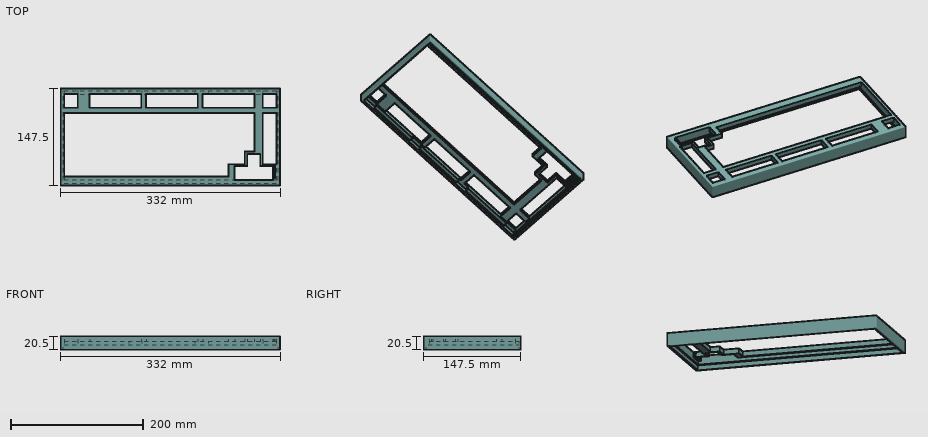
import cadquery as cq


length = 332.0
width = 147.5
height = 20.5
edge_radius = 1.0

lower_wall = 3.5
lower_x = length / 2 - lower_wall
lower_y = width / 2 - lower_wall
lower_depth = 7.3
plate_thickness = 8.0
plate_underside = height - plate_thickness

field_right = 160.5
field_left = -field_right
field_back = 64.7
field_front = -field_back

key_size = 20.3
group_length = 78.0
group_pitch = 85.7
first_group_left = -122.2
group_count = 3
back_row_front = field_back - key_size
column_left = field_right - key_size
end_key_spans = ((field_left, field_left + key_size), (column_left, field_right))

main_back = 36.2
main_front = -59.5
main_right = first_group_left + (group_count - 1) * group_pitch + group_length
upper_step_x = 112.5
upper_step_y = -22.0
lower_step_x = 88.0
lower_step_y = -41.2

arrow_left = 97.3
arrow_right = 155.5
arrow_shoulder = -44.0
arrow_stem_left = 116.5
arrow_stem_right = 136.0
arrow_top = -26.0

slit_left = 156.5
slit_right = 158.5
slit_front = -62.0

notch_length = 20.0
inner_notch_lefts = (-62.8, 37.2)


def block(x_left, x_right, y_front, y_back, z_bottom, z_top):
    """Box between the given limits."""
    size = (x_right - x_left, y_back - y_front, z_top - z_bottom)
    return cq.Workplane("XY").box(*size, centered=False).translate((x_left, y_front, z_bottom))


def window(x_left, x_right, y_front, y_back):
    """Rectangular opening through the full height."""
    return block(x_left, x_right, y_front, y_back, 0, height)


def outline_window(points):
    """Opening of any straight-sided outline through the full height."""
    return cq.Workplane("XY").polyline(points).close().extrude(height)


def case_body():
    """Solid case with every outer edge rounded."""
    body = cq.Workplane("XY").box(length, width, height, centered=(True, True, False))
    return body.edges().fillet(edge_radius)


def underside_cavities():
    """Wide lower cavity and the narrower one above it, leaving a ledge all around."""
    lower = block(-lower_x, lower_x, -lower_y, lower_y, 0, lower_depth)
    upper = block(field_left, field_right, field_front, field_back, 0, plate_underside)
    return [lower, upper]


def back_ledge_notches():
    """Gaps in the back ledge, as deep as the lower cavity."""
    spans = list(end_key_spans)
    for left in inner_notch_lefts:
        spans.append((left, left + notch_length))
    return [block(left, right, 0, lower_y, 0, plate_underside) for left, right in spans]


def back_row_windows():
    """End keys and the groups between them."""
    spans = list(end_key_spans)
    for index in range(group_count):
        left = first_group_left + index * group_pitch
        spans.append((left, left + group_length))
    return [window(left, right, back_row_front, field_back) for left, right in spans]


def main_window():
    """Large opening, stepped at its front right corner."""
    return outline_window([
        (field_left, main_back),
        (main_right, main_back),
        (main_right, upper_step_y),
        (upper_step_x, upper_step_y),
        (upper_step_x, lower_step_y),
        (lower_step_x, lower_step_y),
        (lower_step_x, main_front),
        (field_left, main_front),
    ])


def arrow_window():
    """Opening shaped like an upside-down T."""
    return outline_window([
        (arrow_stem_left, arrow_top),
        (arrow_stem_right, arrow_top),
        (arrow_stem_right, arrow_shoulder),
        (arrow_right, arrow_shoulder),
        (arrow_right, field_front),
        (arrow_left, field_front),
        (arrow_left, arrow_shoulder),
        (arrow_stem_left, arrow_shoulder),
    ])


def column_windows():
    """Right column and the slit that runs on from its front end."""
    column = window(column_left, field_right, lower_step_y, main_back)
    slit = window(slit_left, slit_right, slit_front, lower_step_y)
    return [column, slit]


cuts = underside_cavities() + back_ledge_notches() + back_row_windows() + column_windows()
cuts += [main_window(), arrow_window()]

result = case_body()
for cut in cuts:
    result = result.cut(cut)